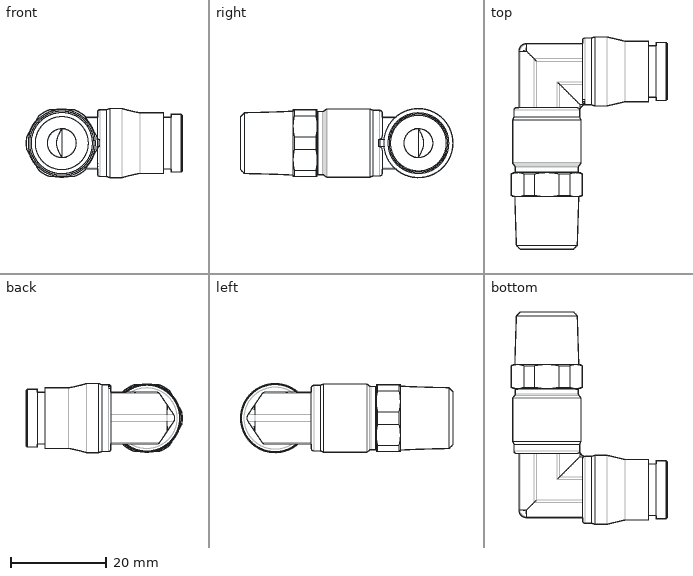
import cadquery as cq
import math


bore_radius = 3.05
drill_point_angle = 120.0
rim_fillet = 0.55
rim_length = 1.9
step_length = 0.65

tube_rim_start = 7.5
tube_rim_radius = 7.05
tube_body_radius = 7.25
tube_body_end = 12.6
tube_neck_start = 16.35
tube_neck_radius = 6.35
tube_neck_end = 21.35
tube_groove_radius = 5.45
release_collar_start = 22.9
release_collar_radius = 6.1
release_collar_chamfer = 0.25
tube_end = 25.25

sleeve_rim_start = 7.55
sleeve_rim_radius = 6.9
sleeve_radius = 7.15
sleeve_taper_start = 19.25
sleeve_taper_end = 19.9
sleeve_taper_fillet = 0.4
shank_radius = 6.65
shank_end = 21.05
relief_radius = 6.05
hex_start = 21.2
hex_end = 26.25
hex_apothem = 7.05
hex_corner_radius = 7.5
hex_chamfer_length = 0.25
thread_start_radius = 6.73
thread_taper = 1 / 16
thread_chamfer = 0.85
inlet_end = 37.3

body_half_height = 5.45
body_flat_half_width = 2.5
body_edge_fillet = 0.7
outer_ridge = 6.15
outer_ridge_fillet = 1.35
inner_face = 6.9
inner_face_half_height = 0.75
inner_corner_fillet = 1.43
corner_axis = 4.25
arm_end = 8.0


def revolve_profile(points):
    """Turn (station, radius) points about the +X axis."""
    return cq.Workplane("XY").polyline(points).close().revolve(360, (0, 0), (1, 0))


def to_inlet_axis(solid):
    """Swing a solid from the +X axis to the -Y axis."""
    return solid.rotate((0, 0, 0), (0, 0, 1), -90)


def circle_edge_at(station):
    """Select the edges lying in the plane X = station."""
    margin = 0.005
    reach = 2 * tube_body_radius
    return cq.selectors.BoxSelector(
        (station - margin, -reach, -reach), (station + margin, reach, reach), boundingbox=True
    )


def make_tube_branch():
    rim_end = tube_rim_start + rim_length
    chamfer_start = tube_end - release_collar_chamfer
    branch = revolve_profile([
        (tube_rim_start, 0),
        (tube_rim_start, tube_rim_radius),
        (rim_end, tube_rim_radius),
        (rim_end + step_length, tube_body_radius),
        (tube_body_end, tube_body_radius),
        (tube_neck_start, tube_neck_radius),
        (tube_neck_end, tube_neck_radius),
        (tube_neck_end, tube_groove_radius),
        (release_collar_start, tube_groove_radius),
        (release_collar_start, release_collar_radius),
        (chamfer_start, release_collar_radius),
        (tube_end, release_collar_radius - release_collar_chamfer),
        (tube_end, 0),
    ])
    return branch.edges(circle_edge_at(tube_rim_start)).fillet(rim_fillet)


def make_sleeve():
    rim_end = sleeve_rim_start + rim_length
    sleeve = revolve_profile([
        (sleeve_rim_start, 0),
        (sleeve_rim_start, sleeve_rim_radius),
        (rim_end, sleeve_rim_radius),
        (rim_end + step_length, sleeve_radius),
        (sleeve_taper_start, sleeve_radius),
        (sleeve_taper_end, shank_radius),
        (shank_end, shank_radius),
        (shank_end, relief_radius),
        (hex_start, relief_radius),
        (hex_start, 0),
    ])
    sleeve = sleeve.edges(circle_edge_at(sleeve_rim_start)).fillet(rim_fillet)
    for station in (sleeve_taper_start, sleeve_taper_end):
        sleeve = sleeve.edges(circle_edge_at(station)).fillet(sleeve_taper_fillet)
    return to_inlet_axis(sleeve)


def make_hex():
    """Hexagon with flats facing +Z and -Z, its corners rounded and chamfered."""
    corner_distance = hex_apothem / math.cos(math.pi / 6)
    prism = (
        cq.Workplane("XZ", origin=(0, -hex_start, 0))
        .polygon(6, 2 * corner_distance)
        .extrude(hex_end - hex_start)
    )
    envelope = revolve_profile([
        (hex_start, 0),
        (hex_start, hex_apothem),
        (hex_start + hex_chamfer_length, hex_corner_radius),
        (hex_end - hex_chamfer_length, hex_corner_radius),
        (hex_end, hex_apothem),
        (hex_end, 0),
    ])
    return prism.intersect(to_inlet_axis(envelope))


def make_thread():
    """Plain taper standing in for the pipe thread."""
    chamfer_start = inlet_end - thread_chamfer
    small_radius = thread_start_radius - (chamfer_start - hex_end) * thread_taper / 2
    thread = revolve_profile([
        (hex_end, 0),
        (hex_end, thread_start_radius),
        (chamfer_start, small_radius),
        (inlet_end, small_radius - thread_chamfer),
        (inlet_end, 0),
    ])
    return to_inlet_axis(thread)


def make_long_arm():
    """Arm along X: flat top and bottom, ridged outside (+Y), narrow face inside (-Y)."""
    section = [
        (outer_ridge, 0),
        (body_flat_half_width, body_half_height),
        (-body_flat_half_width, body_half_height),
        (-inner_face, inner_face_half_height),
        (-inner_face, -inner_face_half_height),
        (-body_flat_half_width, -body_half_height),
        (body_flat_half_width, -body_half_height),
    ]
    arm = (
        cq.Workplane("YZ", origin=(-arm_end, 0, 0))
        .polyline(section).close()
        .extrude(2 * arm_end)
    )
    arm = arm.edges("|X and (>Z or <Z)").fillet(body_edge_fillet)
    return arm.edges("|X and >Y").fillet(outer_ridge_fillet)


def make_corner():
    """Slant and rounded ridge turned about an upright axis at the outer corner."""
    slope = body_half_height / (outer_ridge - body_flat_half_width)
    reach = outer_ridge - corner_axis
    apex = reach * slope
    half = cq.Workplane("XZ").polyline([(0, apex), (reach, 0), (0, -apex)]).close()
    cone = half.revolve(360, (0, 0), (0, 1))
    ridge = cone.edges(cq.selectors.RadiusNthSelector(-1))
    return ridge.fillet(outer_ridge_fillet).translate((-corner_axis, corner_axis, 0))


def make_elbow_body():
    span = 2 * arm_end
    miter_side = (
        cq.Workplane("XY", origin=(0, 0, -arm_end))
        .polyline([(-span, span), (span, span), (span, -span)]).close()
        .extrude(2 * arm_end)
    )
    tube_arm = make_long_arm().intersect(miter_side)
    inlet_arm = tube_arm.mirror("YZ").rotate((0, 0, 0), (0, 0, 1), 90)
    body = tube_arm.union(inlet_arm)
    corner_block = cq.Workplane("XY").box(span, span, span).translate(
        (-corner_axis - span / 2, corner_axis + span / 2, 0)
    )
    return body.cut(corner_block).union(make_corner())


def make_inner_web():
    """Concave round joining the narrow inside faces of the two arms."""
    far = inner_face + inner_corner_fillet
    height = 2 * inner_face_half_height
    return (
        cq.Workplane("XY", origin=(0, 0, -inner_face_half_height))
        .moveTo(inner_face, -inner_face)
        .lineTo(far, -inner_face)
        .radiusArc((inner_face, -far), -inner_corner_fillet)
        .close()
        .extrude(height)
    )


def make_bore(length):
    """Drilled hole along +X whose conical tip reaches past the origin."""
    tip = bore_radius / math.tan(math.radians(drill_point_angle / 2))
    return revolve_profile([(-tip, 0), (0, bore_radius), (length, bore_radius), (length, 0)])


result = (
    make_elbow_body()
    .union(make_inner_web())
    .union(make_tube_branch())
    .union(make_sleeve())
    .union(make_hex())
    .union(make_thread())
    .cut(make_bore(tube_end))
    .cut(to_inlet_axis(make_bore(inlet_end)))
)